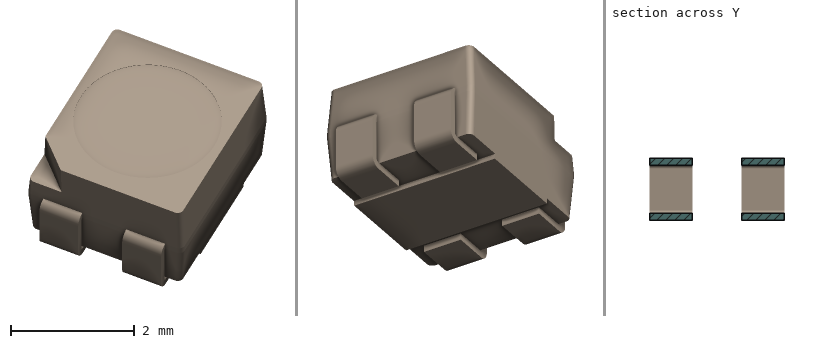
import cadquery as cq

body_width = 2.8
body_length = 3.2
lead_span = 3.5
total_height = 1.82

strip = 0.12
upper_height = 0.8
upper_inset = 0.052
lower_inset = 0.06
corner_radius = 0.1
band_top = total_height - upper_height
band_bottom = band_top - strip

standoff_length = 1.59
standoff_bottom = 0.028

window_radius = 1.2
window_depth = 0.007

notch_depth = 0.5
notch_leg = 0.645

body_bottom = strip
lead_width = 0.7
lead_center_x = 0.745
foot_length = 0.8
bend_radius = 0.175
inner_bend_radius = bend_radius - strip
lead_embed = 0.14


def rounded_block(height, z):
    """Block of the band's outline with rounded vertical edges."""
    return (
        cq.Workplane("XY", origin=(0, 0, z))
        .rect(body_width, body_length)
        .extrude(height)
        .edges("|Z")
        .fillet(corner_radius)
    )


def tapered_block(z_wide, z_narrow, end_inset):
    """Block that shrinks by the end inset on each side, keeping its corner radius."""

    def outline(inset):
        width = body_width - 2 * inset
        length = body_length - 2 * inset
        return cq.Sketch().rect(width, length).vertices().fillet(corner_radius)

    wide = outline(0)
    narrow = outline(end_inset).moved(cq.Location(cq.Vector(0, 0, z_narrow - z_wide)))
    return cq.Workplane("XY", origin=(0, 0, z_wide)).placeSketch(wide, narrow).loft()


def make_housing():
    housing = (
        rounded_block(strip, band_bottom)
        .union(tapered_block(band_top, total_height, upper_inset))
        .union(tapered_block(band_bottom, standoff_bottom, lower_inset))
    )
    step_length = (body_length - standoff_length) / 2
    step_height = body_bottom - standoff_bottom
    step_center_y = (standoff_length + step_length) / 2
    steps = (
        cq.Workplane("XY", origin=(0, 0, standoff_bottom))
        .pushPoints([(0, -step_center_y), (0, step_center_y)])
        .rect(body_width, step_length)
        .extrude(step_height)
    )
    housing = housing.cut(steps)
    window = cq.Workplane("XY", origin=(0, 0, total_height - window_depth)).circle(window_radius)
    return housing.cut(window.extrude(window_depth)).cut(make_notch())


def make_notch():
    corner_x = -body_width / 2
    corner_y = -body_length / 2
    return (
        cq.Workplane("XY", origin=(0, 0, total_height - notch_depth))
        .moveTo(corner_x, corner_y)
        .lineTo(corner_x + notch_leg, corner_y)
        .lineTo(corner_x, corner_y + notch_leg)
        .close()
        .extrude(notch_depth)
    )


def make_lead(x_center):
    """C-shaped lead on the -Y side: out of the band, down, and back under the housing."""
    outer_y = -lead_span / 2
    inner_y = outer_y + strip
    buried_y = -body_length / 2 + lead_embed
    foot_y = outer_y + foot_length
    return (
        cq.Workplane("YZ", origin=(x_center - lead_width / 2, 0, 0))
        .moveTo(buried_y, band_top)
        .lineTo(outer_y + bend_radius, band_top)
        .radiusArc((outer_y, band_top - bend_radius), -bend_radius)
        .lineTo(outer_y, bend_radius)
        .radiusArc((outer_y + bend_radius, 0), -bend_radius)
        .lineTo(foot_y, 0)
        .lineTo(foot_y, strip)
        .lineTo(inner_y + inner_bend_radius, strip)
        .radiusArc((inner_y, strip + inner_bend_radius), inner_bend_radius)
        .lineTo(inner_y, band_bottom - inner_bend_radius)
        .radiusArc((inner_y + inner_bend_radius, band_bottom), inner_bend_radius)
        .lineTo(buried_y, band_bottom)
        .close()
        .extrude(lead_width)
    )


result = make_housing()
for x_center in (-lead_center_x, lead_center_x):
    lead = make_lead(x_center)
    result = result.union(lead).union(lead.mirror("XZ"))